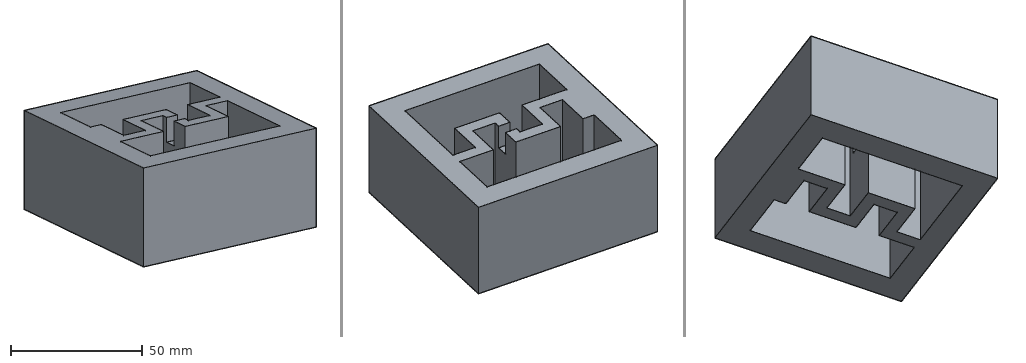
import cadquery as cq

side = 80.0
height = 40.0
notch_depth = 10.0

cell = side / 16
frame_wall = 2 * cell
opening = side - 2 * frame_wall

wall_left = -2 * cell
wall_right = 2 * cell
run_bottoms = [-6 * cell, -3 * cell, 0, 3 * cell]
top_of_opening = opening / 2


def block(x_min, x_max, y_min, y_max, z_min=0, z_max=height):
    """Box between the given limits."""
    return cq.Workplane("XY").box(
        x_max - x_min, y_max - y_min, z_max - z_min, centered=False
    ).translate((x_min, y_min, z_min))


def make_frame():
    """Square tube, open at both ends."""
    outer = cq.Workplane("XY").rect(side, side).extrude(height)
    return outer.cut(cq.Workplane("XY").rect(opening, opening).extrude(height))


def make_meander():
    """Crossing runs joined by uprights that alternate right and left."""
    upright_tops = [bottom + cell for bottom in run_bottoms[1:]] + [top_of_opening]
    wall = None
    for index, (bottom, upright_top) in enumerate(zip(run_bottoms, upright_tops)):
        run = block(wall_left, wall_right, bottom, bottom + cell)
        upright_left = wall_right - cell if index % 2 == 0 else wall_left
        upright = block(upright_left, upright_left + cell, bottom, upright_top)
        piece = run.union(upright)
        wall = piece if wall is None else wall.union(piece)
    return wall


middle_run = run_bottoms[2]
notch = block(-cell / 2, cell / 2, middle_run, middle_run + cell, height - notch_depth, height)

result = make_frame().union(make_meander()).cut(notch)